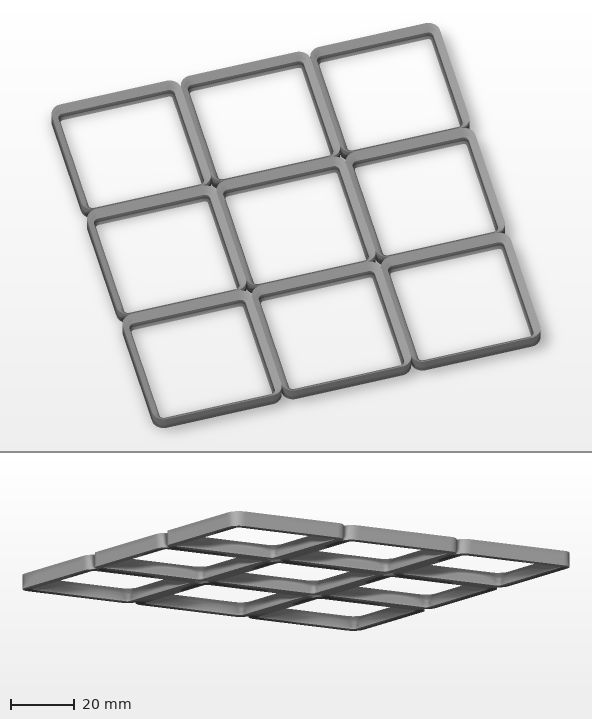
import cadquery as cq
import math

grid_size = 126.0
cells_per_side = 3
cell_size = grid_size / cells_per_side
corner_radius = 3.8

slope_angle = 45.0
height = 4.7
upper_slope = 2.1
lower_slope = 0.7
wall_height = height - upper_slope - lower_slope


def slope_run(slope_height):
    """Horizontal distance covered by a slope of the given height."""
    return slope_height * math.tan(math.radians(slope_angle))


def rounded_square(inset, z):
    """Cell outline moved inward by inset, with corner arcs concentric to the outer ones, at height z."""
    side = cell_size - 2 * inset
    outline = cq.Sketch().rect(side, side).vertices().fillet(corner_radius - inset)
    return cq.Workplane("XY").workplane(offset=z).placeSketch(outline)


def make_opening():
    """Through opening: a slope down from the top edge, an upright wall, then a second slope to the bottom."""
    wall_inset = slope_run(upper_slope)
    upper_funnel = rounded_square(0, height).extrude(-upper_slope, taper=slope_angle)
    upright = rounded_square(wall_inset, lower_slope).extrude(wall_height)
    lower_funnel = rounded_square(wall_inset, lower_slope).extrude(-lower_slope, taper=slope_angle)
    return upper_funnel.union(upright).union(lower_funnel)


def make_cell_frame():
    """One square frame, centred on the origin, whose inner slope meets its outer side in a sharp top edge."""
    return rounded_square(0, 0).extrude(height).cut(make_opening())


def make_frames():
    """Square grid of separate frames, each touching its neighbours along the straight sides."""
    frame = make_cell_frame()
    first_centre = (cell_size - grid_size) / 2
    centres = [first_centre + cell_size * index for index in range(cells_per_side)]
    frames = []
    for x in centres:
        for y in centres:
            frames.append(frame.translate((x, y, 0)).val())
    return frames


result = cq.Compound.makeCompound(make_frames())